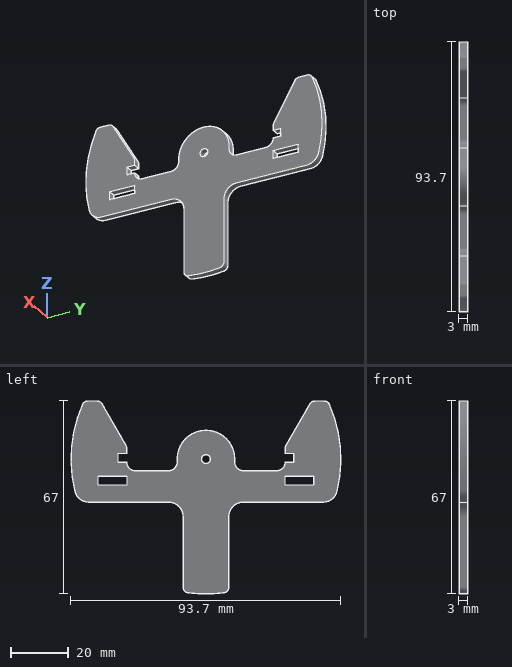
import cadquery as cq
import math

thickness = 3.0
outer_radius = 46.85
jaw_top = 20.1
jaw_inner = 27.5
jaw_bevel_start = 4.3
jaw_bevel_angle = 60.0
arm_top = -4.0
arm_bottom = -15.0
stem_half_width = 8.0
hub_radius = 10.0
pivot_diameter = 3.0

tip_radius = 2.0
inner_radius = 3.0
arm_radius = 5.0

notch_depth = 3.0
notch_height = 2.9
notch_bottom = arm_top + inner_radius
slot_length = 9.9
slot_height = 3.0
slot_top = -6.0

bevel_height = jaw_top - jaw_bevel_start
jaw_bevel_top = jaw_inner + bevel_height / math.tan(math.radians(jaw_bevel_angle))


def arc_coordinate(distance):
    """Other coordinate of the outer arc where one coordinate is the given distance."""
    return math.sqrt(outer_radius**2 - distance**2)


def plate(sketch):
    """Extrude a closed YZ outline to the plate thickness, centred on X."""
    return sketch.extrude(thickness / 2, both=True)


def block(y_min, y_max, z_min, z_max):
    """Rectangular block through the plate thickness."""
    center = ((y_min + y_max) / 2, (z_min + z_max) / 2)
    return plate(cq.Workplane("YZ").center(*center).rect(y_max - y_min, z_max - z_min))


def round_corners(body, corners, radius):
    """Round the given (y, z) corners and their mirror images across Y = 0."""
    for y, z in corners:
        for side in (-1, 1):
            corner = cq.selectors.NearestToPointSelector((0, side * y, z))
            body = body.edges("|X").edges(corner).fillet(radius)
    return body


jaw_outline = [
    (jaw_inner, arm_bottom),
    (jaw_inner, jaw_bevel_start),
    (jaw_bevel_top, jaw_top),
    (outer_radius, jaw_top),
    (outer_radius, arm_bottom),
]
jaw = plate(cq.Workplane("YZ").polyline(jaw_outline).close())
arm = block(-jaw_inner, jaw_inner, arm_bottom, arm_top)
stem = block(-stem_half_width, stem_half_width, -outer_radius, arm_top)
outer_disc = plate(cq.Workplane("YZ").circle(outer_radius))
body = arm.union(stem).union(jaw).union(jaw.mirror("XZ")).intersect(outer_disc)

hub_head = plate(cq.Workplane("YZ").circle(hub_radius))
hub_base = block(-hub_radius, hub_radius, arm_top, 0)
body = body.union(hub_head).union(hub_base).clean()

tip_corners = [
    (arc_coordinate(jaw_top), jaw_top),
    (jaw_bevel_top, jaw_top),
    (jaw_inner, jaw_bevel_start),
    (stem_half_width, -arc_coordinate(stem_half_width)),
]
inner_corners = [(jaw_inner, arm_top), (hub_radius, arm_top)]
arm_corners = [(arc_coordinate(arm_bottom), arm_bottom), (stem_half_width, arm_bottom)]
body = round_corners(body, tip_corners, tip_radius)
body = round_corners(body, inner_corners, inner_radius)
body = round_corners(body, arm_corners, arm_radius)

body = body.cut(plate(cq.Workplane("YZ").circle(pivot_diameter / 2)))
notch = block(jaw_inner - notch_depth, jaw_inner + notch_depth, notch_bottom, notch_bottom + notch_height)
slot = block(jaw_inner, jaw_inner + slot_length, slot_top - slot_height, slot_top)
for opening in (notch, slot):
    body = body.cut(opening).cut(opening.mirror("XZ"))

result = body